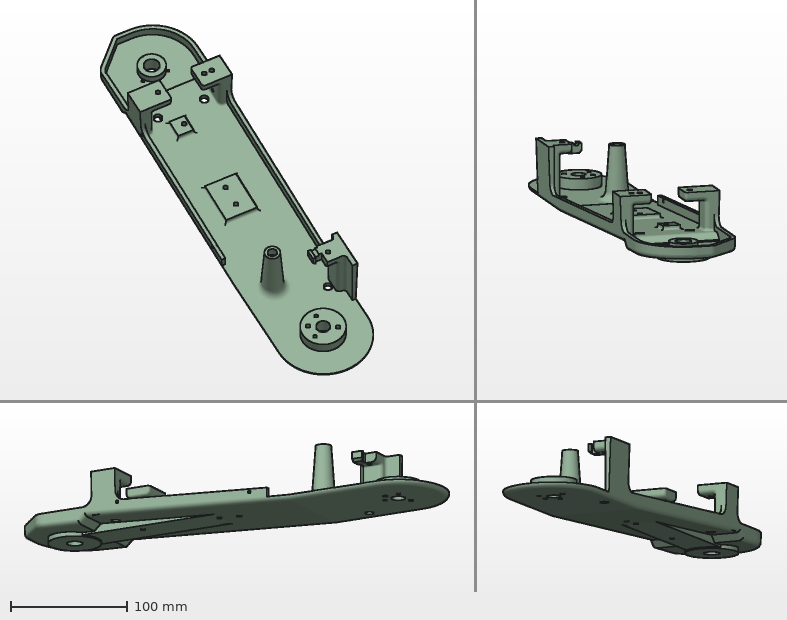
import cadquery as cq
import math

LENGTH = 404.0
HEIGHT = 52.0
WIDTH = 89.3
DRAFT_DEGREES = 2.0
WALL = 3.2
CUT_CORNER = 27.5
NOSE_CORNER_RADIUS = 5.0
SIDE_CORNER_RADIUS = 10.0

FLOOR = 4.0
SLOPE = 0.068
RAMP_END_X = 276.2
RAMP_START_X = 76.0
STEP_X = 67.0
STEP_BOTTOM_X = 69.5
NOSE_BOTTOM_Z = 11.0
NOSE_THICKNESS = 3.2
NOSE_SLOPE = 0.045
RISER = 1.2
RIM_Z = 22.0
WALL_ABOVE_FLOOR = 8.0
BOTTOM_FILLET = 4.5
NEAR_WALL_END_X = 254.5

DRAFT = math.tan(math.radians(DRAFT_DEGREES))
HALF_WIDTH = WIDTH / 2 - DRAFT * HEIGHT
INNER_FACE_Y = HALF_WIDTH - WALL
PLATE_OVERLAP = 2.0

NOSE_BOSS_X = 41.0
NOSE_BOSS_RADIUS = 12.5
NOSE_BOSS_TOP_Z = 18.5
NOSE_DISC_RADIUS = 23.0
NOSE_DISC_BOTTOM_Z = 5.0
NOSE_HOLE_RADIUS = 7.0
NOSE_PIN_CIRCLE = 14.0
NOSE_PIN_RADIUS = 1.2
NOSE_PIN_DEPTH = 4.0

HUB_X = 359.5
HUB_Y = 0.5
HUB_RADIUS = 19.8
HUB_TOP_Z = 13.7
HUB_BORE_RADIUS = 6.0
HUB_HOLE_CIRCLE = 13.0
HUB_LARGE_HOLE = 2.0
HUB_SMALL_HOLE = 1.5

POST_X = 294.5
POST_Y = -15.0
POST_BASE_RADIUS = 9.5
POST_TOP_RADIUS = 7.0
POST_FILLET = 8.0
POST_HOLE_RADIUS = 4.0
POST_HOLE_DEPTH = 8.0
POST_PILOT_RADIUS = 2.0
POST_PILOT_DEPTH = 24.2

PAD_FILLET = 2.5
PAD_HOLE_RADIUS = 2.0
BLOCK_HALF_WIDTH = 16.0
BLOCK_BOTTOM_Z = 6.0
PAD_HEIGHT = 3.5
LARGE_PAD = (174.0, 218.5, -21.5, 13.7)
SMALL_PAD = (101.0, 122.5, -17.8, 2.0)
PAD_HOLES = ((185.8, -3.5), (205.0, -3.5), (111.0, -5.0))

FRONT_X = 82.0
FRONT_WIDTH = 23.5
LEG_INNER_Y = 32.0
ARM_BOTTOM_Z = 43.5
INNER_FILLET = 4.0
INNER_CORNER_RADIUS = 1.2
FOOT_FILLET = 2.5
ARM_CORNER_RADIUS = 2.5
LEFT_ARM_END_Y = 16.0
RIGHT_ARM_END_Y = -13.7
FOOT_RADIUS = 9.3
FOOT_SAG = FOOT_RADIUS * (1 - math.sqrt(0.5))
SCREW_RADIUS = 2.0
ACCESS_RADIUS = 3.85

SLAB_X = 300.5
SLAB_END_X = 339.0
REAR_X = 305.7
REAR_END_X = 325.5
REAR_ARM_END_Y = 22.2
REAR_JOINT_RADIUS = 3.2
REAR_SCREW_X = 316.0
REAR_SCREW_Y = 28.0
HOOK_X = 307.0
HOOK_WIDTH = 7.5
HOOK_END_Y = 13.0
HOOK_BOTTOM_Z = 43.5
HOOK_CHAMFER = 2.5
HOOK_LIP_WIDTH = 9.5
HOOK_LIP_Y = 15.8
GROOVE_RADIUS = 2.0

FRONT_SCREW_X = FRONT_X + FRONT_WIDTH / 2 - 0.5
ARM_SCREWS = ((FRONT_SCREW_X, 24.0), (FRONT_SCREW_X, -21.0), (REAR_SCREW_X, REAR_SCREW_Y))
BLIND_HOLE = (FRONT_SCREW_X, 31.0)
BLIND_DEPTH = 6.0

SIDE_HOLE_RADIUS = 1.2
INNER_HOLES = ((FRONT_SCREW_X, LEG_INNER_Y, 24.0), (304.5, INNER_FACE_Y - 2.0, 13.5))
INNER_HOLE_DEPTH = 4.0
SIDE_HOLES = ((107.0, 22.0), (237.0, 12.0))


def ramp_top(x):
    return FLOOR + SLOPE * (RAMP_END_X - x)


def ramp_bottom(x):
    return ramp_top(x) - FLOOR


def nose_bottom(x):
    return NOSE_BOTTOM_Z - NOSE_SLOPE * x


def nose_top(x):
    return nose_bottom(x) + NOSE_THICKNESS


def wall_top(x):
    return ramp_top(x) + WALL_ABOVE_FLOOR


def box(x0, x1, y0, y1, z0, z1):
    return cq.Workplane("XY").box(x1 - x0, y1 - y0, z1 - z0, centered=False).translate((x0, y0, z0))


def cylinder(x, y, radius, z0, z1):
    return cq.Workplane("XY", origin=(x, y, z0)).circle(radius).extrude(z1 - z0)


def along_y(sketch, y0, y1):
    """Extrude an XZ sketch between two Y positions."""
    return sketch.extrude(-(y1 - y0)).translate((0, y0, 0))


def outline(inset, draft_degrees):
    """Plan outline of the arm as a tall prism, pulled in by an inset."""
    half = HALF_WIDTH - inset
    nose = RIM_Z * DRAFT + inset
    tail = LENGTH - FLOOR * DRAFT - HALF_WIDTH
    arc_x = nose + half
    cut = CUT_CORNER - inset * (2 - math.sqrt(2))
    side_radius = SIDE_CORNER_RADIUS - inset
    nose_radius = NOSE_CORNER_RADIUS - inset
    side_trim = side_radius * math.tan(math.radians(22.5))
    nose_trim = nose_radius * math.tan(math.radians(22.5))
    along = math.sqrt(0.5)
    return (
        cq.Workplane("XY")
        .moveTo(arc_x, half)
        .lineTo(tail, half)
        .threePointArc((tail + half, 0), (tail, -half))
        .lineTo(nose + cut + side_trim, -half)
        .radiusArc((nose + cut - side_trim * along, -half + side_trim * along), side_radius)
        .lineTo(nose + nose_trim * along, -half + cut - nose_trim * along)
        .radiusArc((nose, -half + cut + nose_trim), nose_radius)
        .lineTo(nose, 0)
        .threePointArc((arc_x - half * along, half * along), (arc_x, half))
        .close()
        .extrude(HEIGHT, taper=-draft_degrees)
    )


def step_curve(sketch):
    """Rounded rise from the nose floor up to the ramp floor."""
    run = RAMP_START_X - STEP_X
    rise = ramp_top(RAMP_START_X) - nose_top(STEP_X) - RISER
    radius = (run ** 2 + rise ** 2) / (2 * rise)
    half_angle = math.atan2(rise, run)
    mid = (RAMP_START_X - radius * math.sin(half_angle),
           ramp_top(RAMP_START_X) - radius * (1 - math.cos(half_angle)))
    return sketch.threePointArc(mid, (RAMP_START_X, ramp_top(RAMP_START_X)))


def side_silhouette(far_side):
    """Side shape of one wall, with the upright plates that rise from it."""
    front_end = FRONT_X + FRONT_WIDTH
    shape = cq.Workplane("XZ").moveTo(0, 0).lineTo(0, RIM_Z).lineTo(FRONT_X - FOOT_RADIUS, RIM_Z)
    shape = rise_to_plate(shape, FRONT_X, RIM_Z)
    shape = shape.lineTo(FRONT_X, HEIGHT).lineTo(front_end, HEIGHT)
    foot_z = wall_top(front_end + FOOT_RADIUS)
    shape = shape.lineTo(front_end, foot_z + FOOT_RADIUS)
    shape = shape.threePointArc(
        (front_end + FOOT_SAG, foot_z + FOOT_SAG), (front_end + FOOT_RADIUS, foot_z))
    if far_side:
        foot_x = SLAB_X - FOOT_RADIUS
        shape = shape.lineTo(foot_x, wall_top(foot_x))
        shape = rise_to_plate(shape, SLAB_X, wall_top(foot_x))
        shape = shape.lineTo(SLAB_X, HEIGHT).lineTo(SLAB_END_X, HEIGHT).lineTo(SLAB_END_X, 0)
    else:
        shape = shape.lineTo(NEAR_WALL_END_X, wall_top(NEAR_WALL_END_X)).lineTo(NEAR_WALL_END_X, 0)
    return shape.close()


def rise_to_plate(shape, plate_x, foot_z):
    """Quarter round from a wall top up to the -X edge of an upright plate."""
    return shape.threePointArc(
        (plate_x - FOOT_SAG, foot_z + FOOT_SAG), (plate_x, foot_z + FOOT_RADIUS))


def make_tray():
    """Thin floor with its walls: nose, step, ramp and flat tail plate."""
    hull_side = (
        cq.Workplane("XZ")
        .moveTo(0, nose_bottom(0))
        .lineTo(STEP_BOTTOM_X, nose_bottom(STEP_BOTTOM_X))
        .lineTo(RAMP_START_X, ramp_bottom(RAMP_START_X))
        .lineTo(RAMP_END_X, 0)
        .lineTo(LENGTH, 0)
        .lineTo(LENGTH, HEIGHT)
        .lineTo(0, HEIGHT)
        .close()
    )
    hull = outline(0, DRAFT_DEGREES).intersect(along_y(hull_side, -WIDTH, WIDTH))
    underside = hull.faces().filter(lambda face: face.normalAt().z < -0.5)
    rim_edges = underside.edges().filter(lambda edge: not is_bend(edge))
    hull = rim_edges.fillet(BOTTOM_FILLET)

    floor_side = (
        cq.Workplane("XZ")
        .moveTo(0, 0)
        .lineTo(0, nose_top(0))
        .lineTo(STEP_X, nose_top(STEP_X))
        .lineTo(STEP_X, nose_top(STEP_X) + RISER)
    )
    floor_side = step_curve(floor_side).lineTo(RAMP_END_X, FLOOR).lineTo(LENGTH, FLOOR).lineTo(LENGTH, 0).close()
    floor = along_y(floor_side, -WIDTH, WIDTH)
    shell = hull.cut(outline(WALL, 0).cut(floor))

    near_wall = along_y(side_silhouette(False), -WIDTH, 0)
    far_wall = along_y(side_silhouette(True), 0, WIDTH)
    return shell.intersect(floor.union(near_wall).union(far_wall))


def is_bend(edge):
    """True for the full-width edges where two stretches of the underside meet."""
    size = edge.BoundingBox()
    return size.xlen < 0.05 and size.ylen > WIDTH / 2


def nose_mount():
    """Bored boss on the nose floor and the wider disc beneath it."""
    boss = cylinder(NOSE_BOSS_X, 0, NOSE_BOSS_RADIUS, NOSE_DISC_BOTTOM_Z, NOSE_BOSS_TOP_Z)
    disc = cylinder(NOSE_BOSS_X, 0, NOSE_DISC_RADIUS, NOSE_DISC_BOTTOM_Z, nose_bottom(NOSE_BOSS_X) + FLOOR / 2)
    return boss.union(disc)


def nose_holes():
    holes = cylinder(NOSE_BOSS_X, 0, NOSE_HOLE_RADIUS, 0, HEIGHT)
    for degrees in (60, 180, 300):
        x = NOSE_BOSS_X + NOSE_PIN_CIRCLE * math.cos(math.radians(degrees))
        y = NOSE_PIN_CIRCLE * math.sin(math.radians(degrees))
        holes = holes.union(cylinder(x, y, NOSE_PIN_RADIUS, nose_top(x) - NOSE_PIN_DEPTH, NOSE_BOSS_TOP_Z - 2.0))
    return holes


def hub_holes():
    holes = cylinder(HUB_X, HUB_Y, HUB_BORE_RADIUS, 0, HEIGHT)
    pattern = ((60, HUB_LARGE_HOLE), (180, HUB_SMALL_HOLE), (240, HUB_LARGE_HOLE), (300, HUB_SMALL_HOLE))
    for degrees, radius in pattern:
        x = HUB_X + HUB_HOLE_CIRCLE * math.cos(math.radians(degrees))
        y = HUB_Y + HUB_HOLE_CIRCLE * math.sin(math.radians(degrees))
        holes = holes.union(cylinder(x, y, radius, 0, HEIGHT))
    return holes


def post():
    """Tapered post with a flared foot and a stepped blind hole in its top."""
    foot_z = FLOOR + POST_FILLET
    foot_radius = POST_BASE_RADIUS + POST_FILLET
    sag = POST_FILLET * (1 - math.sqrt(0.5))
    half_section = (
        cq.Workplane("XZ")
        .moveTo(0, FLOOR / 2)
        .lineTo(foot_radius, FLOOR / 2)
        .lineTo(foot_radius, FLOOR)
        .threePointArc((POST_BASE_RADIUS + sag, FLOOR + sag), (POST_BASE_RADIUS, foot_z))
        .lineTo(POST_TOP_RADIUS, HEIGHT)
        .lineTo(POST_HOLE_RADIUS, HEIGHT)
        .lineTo(POST_HOLE_RADIUS, HEIGHT - POST_HOLE_DEPTH)
        .lineTo(POST_PILOT_RADIUS, HEIGHT - POST_HOLE_DEPTH)
        .lineTo(POST_PILOT_RADIUS, HEIGHT - POST_PILOT_DEPTH)
        .lineTo(0, HEIGHT - POST_PILOT_DEPTH)
        .close()
    )
    return half_section.revolve(360, (0, 0, 0), (0, 1, 0)).translate((POST_X, POST_Y, 0))


def coved_profile(plane, width):
    """Cross-section of a pad: straight sides on top of a concave foot."""
    half = width / 2
    top = half - PAD_FILLET
    sag = PAD_FILLET * (1 - math.sqrt(0.5))
    return (
        cq.Workplane(plane)
        .moveTo(-half, -FLOOR / 2)
        .lineTo(-half, 0)
        .threePointArc((-top - sag, sag), (-top, PAD_FILLET))
        .lineTo(-top, PAD_HEIGHT)
        .lineTo(top, PAD_HEIGHT)
        .lineTo(top, PAD_FILLET)
        .threePointArc((top + sag, sag), (half, 0))
        .lineTo(half, -FLOOR / 2)
        .close()
    )


def pad(x0, x1, y0, y1):
    """Raised pad with mitred concave feet, lying parallel to the ramp."""
    length = x1 - x0
    width = y1 - y0
    center_x = (x0 + x1) / 2
    lengthwise = coved_profile("XZ", length).extrude(width / 2, both=True)
    crosswise = coved_profile("YZ", width).extrude(length / 2, both=True)
    body = lengthwise.intersect(crosswise)
    body = body.rotate((0, 0, 0), (0, 1, 0), math.degrees(math.atan(SLOPE)))
    return body.translate((center_x, (y0 + y1) / 2, ramp_top(center_x)))


def underside_block():
    """Level-bottomed block under the middle of the ramp."""
    end_x = RAMP_END_X - BLOCK_BOTTOM_Z / SLOPE
    side = (
        cq.Workplane("XZ")
        .moveTo(NOSE_BOSS_X + NOSE_HOLE_RADIUS, BLOCK_BOTTOM_Z)
        .lineTo(end_x, BLOCK_BOTTOM_Z)
        .lineTo(RAMP_START_X, ramp_bottom(RAMP_START_X) + FLOOR / 2)
        .lineTo(STEP_X, nose_bottom(STEP_X) + FLOOR / 2)
        .lineTo(NOSE_BOSS_X + NOSE_HOLE_RADIUS, nose_bottom(STEP_X) + FLOOR / 2)
        .close()
    )
    return along_y(side, -BLOCK_HALF_WIDTH, BLOCK_HALF_WIDTH)


def angle_bracket(x0, x1, arm_end_y, base_z):
    """Leg along the +Y wall with an arm reaching inward at the top, rounded on its inner edges."""
    outer_y = INNER_FACE_Y + PLATE_OVERLAP
    body = (
        cq.Workplane("YZ", origin=(x0, 0, 0))
        .moveTo(outer_y, base_z)
        .lineTo(LEG_INNER_Y, base_z)
        .lineTo(LEG_INNER_Y, ARM_BOTTOM_Z)
        .lineTo(arm_end_y, ARM_BOTTOM_Z)
        .lineTo(arm_end_y, HEIGHT)
        .lineTo(outer_y, HEIGHT)
        .close()
        .extrude(x1 - x0)
    )
    corner = cq.selectors.NearestToPointSelector(((x0 + x1) / 2, LEG_INNER_Y, ARM_BOTTOM_Z))
    body = body.edges("|X").edges(corner).fillet(INNER_CORNER_RADIUS)
    inner_edges = cq.selectors.BoxSelector(
        (x0 - 0.5, arm_end_y + 0.5, base_z + 0.5), (x1 + 0.5, LEG_INNER_Y + 0.5, ARM_BOTTOM_Z + 0.5))
    return body.edges(inner_edges).edges("#X").fillet(INNER_FILLET)


def front_bracket(arm_end_y):
    x1 = FRONT_X + FRONT_WIDTH
    body = angle_bracket(FRONT_X, x1, arm_end_y, ramp_top(x1) - FLOOR / 2)
    return body.edges("|Z and <Y").fillet(ARM_CORNER_RADIUS)


def blend_feet(body):
    """Round the corner between the ramp floor and the legs of the front brackets."""
    x0 = FRONT_X - 0.5
    x1 = FRONT_X + FRONT_WIDTH + 0.5
    far_feet = cq.selectors.BoxSelector(
        (x0, LEG_INNER_Y - 0.5, ramp_top(x1) - 0.5), (x1, INNER_FACE_Y, ramp_top(x0) + 0.5))
    near_feet = cq.selectors.BoxSelector(
        (x0, -INNER_FACE_Y, ramp_top(x1) - 0.5), (x1, 0.5 - LEG_INNER_Y, ramp_top(x0) + 0.5))
    return body.edges(far_feet + near_feet).fillet(FOOT_FILLET)


def rear_bracket():
    """Bracket blended into a flat plate along the wall."""
    slab = box(SLAB_X, SLAB_END_X, INNER_FACE_Y, INNER_FACE_Y + PLATE_OVERLAP, FLOOR / 2, HEIGHT)
    body = slab.union(angle_bracket(REAR_X, REAR_END_X, REAR_ARM_END_Y, FLOOR / 2))
    joints = cq.selectors.BoxSelector(
        (REAR_X - 0.5, INNER_FACE_Y - 0.5, 0), (REAR_END_X + 0.5, INNER_FACE_Y + 0.5, HEIGHT))
    return body.edges("|Z").edges(joints).fillet(REAR_JOINT_RADIUS)


def hook():
    """Short catch at the end of the rear arm, with a round groove across its top."""
    catch = box(HOOK_X, HOOK_X + HOOK_WIDTH, HOOK_END_Y, REAR_ARM_END_Y + 2.0, HOOK_BOTTOM_Z, HEIGHT)
    lip = box(HOOK_X, HOOK_X + HOOK_LIP_WIDTH, HOOK_END_Y, HOOK_LIP_Y, HOOK_BOTTOM_Z, HEIGHT)
    groove_y = HOOK_LIP_Y + GROOVE_RADIUS
    groove = (cq.Workplane("YZ", origin=(HOOK_X, groove_y, HEIGHT))
              .circle(GROOVE_RADIUS).extrude(HOOK_LIP_WIDTH))
    body = catch.union(lip).cut(groove)
    return body.faces("<Y").edges("<Z").chamfer(HOOK_CHAMFER)


result = make_tray()
result = result.union(front_bracket(LEFT_ARM_END_Y))
result = result.union(front_bracket(-RIGHT_ARM_END_Y).mirror("XZ"))
result = blend_feet(result)
result = result.union(nose_mount()).union(underside_block())
result = result.union(cylinder(HUB_X, HUB_Y, HUB_RADIUS, FLOOR / 2, HUB_TOP_Z))
result = result.union(post())
result = result.union(pad(*LARGE_PAD)).union(pad(*SMALL_PAD))
result = result.union(rear_bracket()).union(hook())

result = result.cut(nose_holes()).cut(hub_holes())
for x, y in PAD_HOLES:
    result = result.cut(cylinder(x, y, PAD_HOLE_RADIUS, 0, HEIGHT))
for x, y in ARM_SCREWS:
    result = result.cut(cylinder(x, y, SCREW_RADIUS, HEIGHT / 2, HEIGHT))
    result = result.cut(cylinder(x, y, ACCESS_RADIUS, 0, HEIGHT / 2))
result = result.cut(cylinder(*BLIND_HOLE, SCREW_RADIUS, HEIGHT - BLIND_DEPTH, HEIGHT))
for x, z in SIDE_HOLES:
    result = result.cut(along_y(cq.Workplane("XZ").center(x, z).circle(SIDE_HOLE_RADIUS), -WIDTH / 2, 0))
for x, y, z in INNER_HOLES:
    drill = cq.Workplane("XZ").center(x, z).circle(SIDE_HOLE_RADIUS)
    result = result.cut(along_y(drill, y, y + INNER_HOLE_DEPTH))